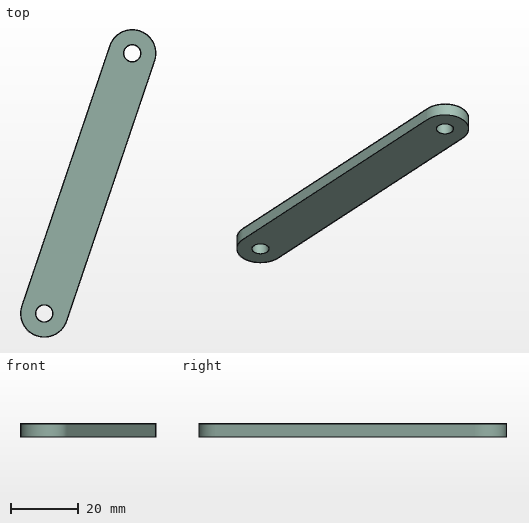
import cadquery as cq
import math

size_x = 40.0
size_y = 91.0
thickness = 4.0
bar_width = 14.0
hole_diameter = 5.0

spacing_x = size_x - bar_width
spacing_y = size_y - bar_width
hole_spacing = math.hypot(spacing_x, spacing_y)
bar_angle = math.degrees(math.atan2(spacing_y, spacing_x))

bar = cq.Workplane("XY").slot2D(hole_spacing + bar_width, bar_width).extrude(thickness)

hole_centers = [(-hole_spacing / 2, 0), (hole_spacing / 2, 0)]
bar = bar.faces(">Z").workplane().pushPoints(hole_centers).hole(hole_diameter)

result = bar.rotate((0, 0, 0), (0, 0, 1), bar_angle)